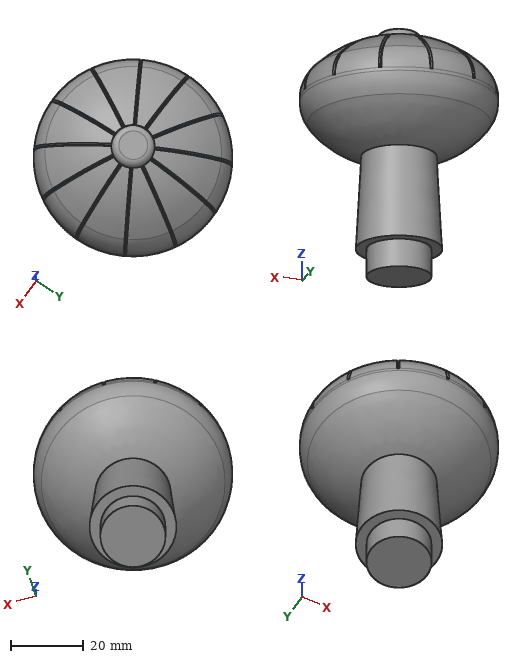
import cadquery as cq
import math

SPIGOT_TOP_Z = 8.0
NECK_Z = 35.0
BELT_BOTTOM_Z = 51.0
BELT_TOP_Z = 52.0
CAP_BASE_Z = 69.0
CAP_TOP_Z = 71.0

SPIGOT_RADIUS = 9.0
STEM_BASE_RADIUS = 12.0
NECK_RADIUS = 10.5
BELT_RADIUS = 27.5
CAP_RADIUS = 6.0
CAP_EDGE_RADIUS = CAP_TOP_Z - CAP_BASE_Z

SHOULDER_RADIUS = 10.0
UNDERSIDE_RADIUS = 28.0
SHOULDER_CENTRE_R = BELT_RADIUS - SHOULDER_RADIUS

DOME_RISE = CAP_BASE_Z - BELT_TOP_Z
DOME_RADIUS = (SHOULDER_CENTRE_R**2 + DOME_RISE**2 - SHOULDER_RADIUS**2) / (
    2 * (DOME_RISE - SHOULDER_RADIUS)
)

GROOVE_COUNT = 12
GROOVE_WIDTH = 0.8
GROOVE_DEPTH = 0.5
GROOVE_CLEARANCE = 0.2
GROOVE_OVERLAP = 1.0
GROOVE_START_R = CAP_RADIUS - GROOVE_OVERLAP


def point_on(centre, radius, direction):
    """Point at a radius from a centre, along a direction of any length."""
    length = math.hypot(*direction)
    return (
        centre[0] + radius * direction[0] / length,
        centre[1] + radius * direction[1] / length,
    )


def between(start, end):
    """Direction from one point to another."""
    return (end[0] - start[0], end[1] - start[1])


def arc_middle(centre, radius, start, end):
    """Point halfway along the minor arc joining start and end."""
    chord_middle = ((start[0] + end[0]) / 2, (start[1] + end[1]) / 2)
    return point_on(centre, radius, between(centre, chord_middle))


upper_centre = (SHOULDER_CENTRE_R, BELT_TOP_Z)
apex = (0.0, CAP_BASE_Z)
dome_centre = (0.0, CAP_BASE_Z - DOME_RADIUS)
dome_joint = point_on(dome_centre, DOME_RADIUS, between(dome_centre, upper_centre))
belt_top = (BELT_RADIUS, BELT_TOP_Z)

lower_centre = (SHOULDER_CENTRE_R, BELT_BOTTOM_Z)
neck = (NECK_RADIUS, NECK_Z)
belt_bottom = (BELT_RADIUS, BELT_BOTTOM_Z)


def underside_arc_centre():
    """Centre at known distances from the lower shoulder centre and the neck point."""
    shoulder_distance = UNDERSIDE_RADIUS - SHOULDER_RADIUS
    base = between(neck, lower_centre)
    base_length = math.hypot(*base)
    along = (UNDERSIDE_RADIUS**2 - shoulder_distance**2 + base_length**2) / (2 * base_length)
    across = math.sqrt(UNDERSIDE_RADIUS**2 - along**2)
    foot = point_on(neck, along, base)
    return point_on(foot, across, (-base[1], base[0]))


underside_centre = underside_arc_centre()
underside_joint = point_on(underside_centre, UNDERSIDE_RADIUS, between(underside_centre, lower_centre))


def make_body():
    """Spigot, tapered stem and knob turned about Z."""
    profile = (
        cq.Workplane("XZ")
        .lineTo(SPIGOT_RADIUS, 0)
        .lineTo(SPIGOT_RADIUS, SPIGOT_TOP_Z)
        .lineTo(STEM_BASE_RADIUS, SPIGOT_TOP_Z)
        .lineTo(*neck)
        .threePointArc(
            arc_middle(underside_centre, UNDERSIDE_RADIUS, neck, underside_joint), underside_joint
        )
        .threePointArc(
            arc_middle(lower_centre, SHOULDER_RADIUS, underside_joint, belt_bottom), belt_bottom
        )
        .lineTo(*belt_top)
        .threePointArc(arc_middle(upper_centre, SHOULDER_RADIUS, belt_top, dome_joint), dome_joint)
        .threePointArc(arc_middle(dome_centre, DOME_RADIUS, dome_joint, apex), apex)
        .close()
    )
    return profile.revolve(360, (0, 0, 0), (0, 1, 0))


def make_groove_cutter():
    """Triangular bar following the dome from the belt up to beneath the cap."""
    groove_rise = math.sqrt(DOME_RADIUS**2 - GROOVE_START_R**2)
    groove_start = (GROOVE_START_R, dome_centre[1] + groove_rise)
    path = (
        cq.Workplane("XZ")
        .moveTo(*belt_top)
        .threePointArc(arc_middle(upper_centre, SHOULDER_RADIUS, belt_top, dome_joint), dome_joint)
        .threePointArc(arc_middle(dome_centre, DOME_RADIUS, dome_joint, groove_start), groove_start)
    )
    outer_half_width = GROOVE_WIDTH / 2 * (GROOVE_DEPTH + GROOVE_CLEARANCE) / GROOVE_DEPTH
    section = (
        cq.Workplane("XY", origin=(BELT_RADIUS, 0, BELT_TOP_Z))
        .moveTo(-GROOVE_DEPTH, 0)
        .lineTo(GROOVE_CLEARANCE, -outer_half_width)
        .lineTo(GROOVE_CLEARANCE, outer_half_width)
        .close()
    )
    return section.sweep(path)


def make_cap():
    """Small disc with a rounded rim on top of the dome, rooted inside it."""
    root_z = CAP_BASE_Z - CAP_EDGE_RADIUS
    cap = cq.Workplane("XY", origin=(0, 0, root_z)).circle(CAP_RADIUS).extrude(CAP_TOP_Z - root_z)
    return cap.faces(">Z").edges().fillet(CAP_EDGE_RADIUS)


result = make_body()
groove_cutter = make_groove_cutter()
for index in range(GROOVE_COUNT):
    angle = index * 360 / GROOVE_COUNT
    result = result.cut(groove_cutter.rotate((0, 0, 0), (0, 0, 1), angle))
result = result.union(make_cap())